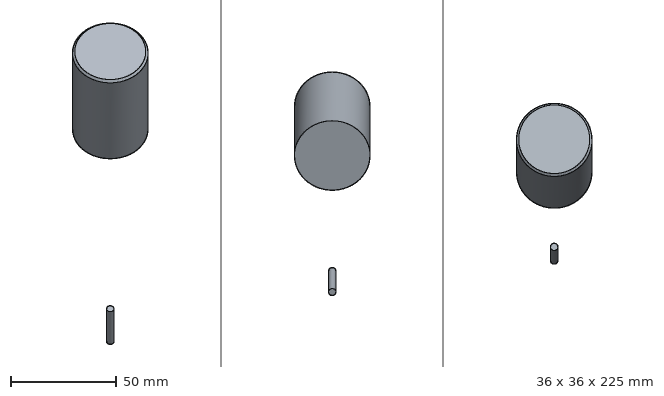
import cadquery as cq

TOTAL_HEIGHT = 225.0

CYLINDER_DIAMETER = 36.0
CYLINDER_LENGTH = 60.0
CYLINDER_CHAMFER = 1.1

PIN_DIAMETER = 3.5
PIN_LENGTH = 25.5


def make_cylinder():
    """Upright cylinder with a chamfered top edge."""
    bottom = TOTAL_HEIGHT - CYLINDER_LENGTH
    return (
        cq.Workplane("XY", origin=(0, 0, bottom))
        .circle(CYLINDER_DIAMETER / 2)
        .extrude(CYLINDER_LENGTH)
        .faces(">Z")
        .edges()
        .chamfer(CYLINDER_CHAMFER)
    )


def make_pin():
    """Plain round pin standing on the base plane."""
    return cq.Workplane("XY").circle(PIN_DIAMETER / 2).extrude(PIN_LENGTH)


cylinder = make_cylinder()
pin = make_pin()

result = cq.Compound.makeCompound([cylinder.val(), pin.val()])